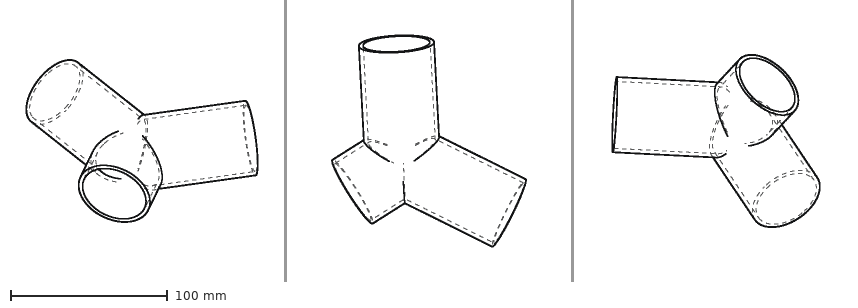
import cadquery as cq
import math

OUTER_DIAMETER = 48.2
BORE_DIAMETER = 42.8
OVERALL_WIDTH = 156.1
ARM_RISE_ANGLE = 30.0
STUB_ANGLE = -90.0
SECTOR_HALF_ANGLE = 60.0

rise = math.radians(ARM_RISE_ANGLE)
arm_length = (OVERALL_WIDTH / 2 - OUTER_DIAMETER / 2 * math.sin(rise)) / math.cos(rise)
stub_length = arm_length / 2

BRANCHES = [
    (ARM_RISE_ANGLE, arm_length),
    (180.0 - ARM_RISE_ANGLE, arm_length),
    (STUB_ANGLE, stub_length),
]


def branch_cylinder(angle, length, diameter):
    """Cylinder running outward from the junction, trimmed to its own 120 degree sector."""
    radius = diameter / 2
    cylinder = cq.Workplane("YZ").workplane(offset=-radius).circle(radius).extrude(length + radius)
    half_angle = math.radians(SECTOR_HALF_ANGLE)
    reach = 2 * length + 2 * radius
    side = reach * math.tan(half_angle)
    sector = (
        cq.Workplane("XY")
        .polyline([(0, 0), (reach, -side), (reach, side)])
        .close()
        .extrude(diameter, both=True)
    )
    return cylinder.intersect(sector).rotate((0, 0, 0), (0, 0, 1), angle)


def mitered_branches(diameter):
    """Union of the three branches, which meet on flat miter planes at the origin."""
    body = cq.Workplane("XY")
    for angle, length in BRANCHES:
        body = body.add(branch_cylinder(angle, length, diameter))
    return body.combine()


result = mitered_branches(OUTER_DIAMETER).cut(mitered_branches(BORE_DIAMETER))